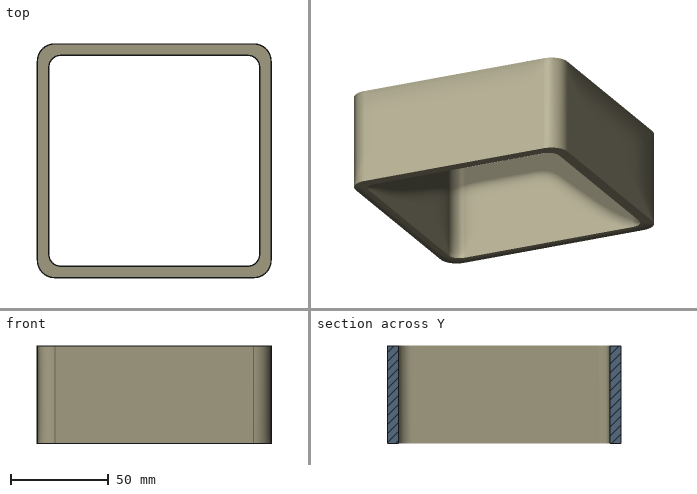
import cadquery as cq

outer_side = 120.0
height = 50.0
wall = 6.0
outer_corner_radius = 9.0
inner_corner_radius = 6.0

inner_side = outer_side - 2 * wall


def rounded_square_prism(side, corner_radius):
    """Square prism of the tube's height with rounded vertical edges."""
    prism = cq.Workplane("XY").rect(side, side).extrude(height)
    return prism.edges("|Z").fillet(corner_radius)


outer_body = rounded_square_prism(outer_side, outer_corner_radius)
bore = rounded_square_prism(inner_side, inner_corner_radius)

result = outer_body.cut(bore)